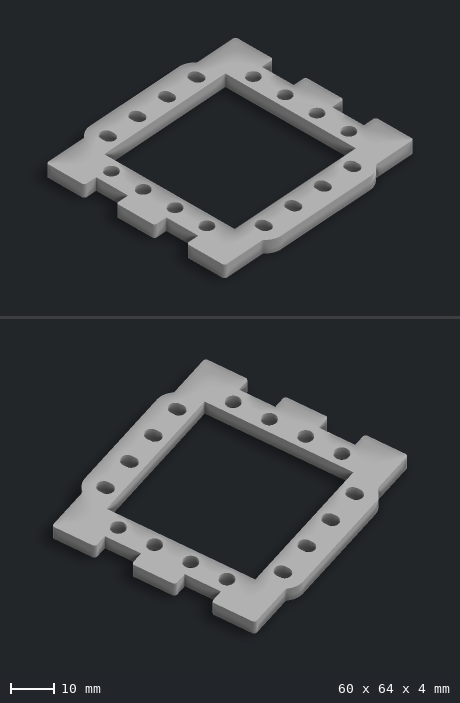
import cadquery as cq
import math

length = 64.0
side_width = 60.0
thickness = 4.0
body_width = 56.0

window_size = 40.95

notch_inner = 6.0
notch_outer = 16.0
notch_depth = 4.0
corner_radius = 0.8

bulge_straight = 30.0
bulge_radius = 5.0
bulge_blend_radius = 1.2
bulge_height = (side_width - body_width) / 2
bulge_end_angle = math.acos(1 - bulge_height / bulge_radius)

hole_pitch = 10.0
holes_per_row = 4
hole_diameter = 4.0
hole_row_y = 24.0
slot_row_x = 24.45
slot_length = 4.55
slot_width = 3.5


def bulge_arc_point(angle):
    """Point on the bulge's end arc in the +X +Y quadrant, angle measured from +X."""
    x = side_width / 2 - bulge_radius * (1 - math.cos(angle))
    y = bulge_straight / 2 + bulge_radius * math.sin(angle)
    return x, y


def make_body():
    """Rectangular plate with end notches and rounded outer corners."""
    body = cq.Workplane("XY").box(body_width, length, thickness)
    notch_width = notch_outer - notch_inner
    notch_x = (notch_outer + notch_inner) / 2
    notch_y = (length - notch_depth) / 2
    notches = (
        cq.Workplane("XY")
        .pushPoints([(sx * notch_x, sy * notch_y) for sx in (-1, 1) for sy in (-1, 1)])
        .box(notch_width, notch_depth, thickness)
    )
    body = body.cut(notches)
    for end in (">Y", "<Y"):
        body = body.faces(end).edges("|Z").fillet(corner_radius)
    return body


def make_bulges():
    """Central slab whose long sides stick out beyond the body."""
    start_x, start_y = bulge_arc_point(0)
    mid_x, mid_y = bulge_arc_point(bulge_end_angle / 2)
    end_x, end_y = bulge_arc_point(bulge_end_angle)
    return (
        cq.Workplane("XY")
        .workplane(offset=-thickness / 2)
        .moveTo(start_x, -start_y)
        .lineTo(start_x, start_y)
        .threePointArc((mid_x, mid_y), (end_x, end_y))
        .lineTo(-end_x, end_y)
        .threePointArc((-mid_x, mid_y), (-start_x, start_y))
        .lineTo(-start_x, -start_y)
        .threePointArc((-mid_x, -mid_y), (-end_x, -end_y))
        .lineTo(end_x, -end_y)
        .threePointArc((mid_x, -mid_y), (start_x, -start_y))
        .close()
        .extrude(thickness)
    )


def blend_bulges(frame):
    """Round the four inside corners where the bulge arcs meet the body."""
    corner_x, corner_y = bulge_arc_point(bulge_end_angle)
    for side_x in (-1, 1):
        for side_y in (-1, 1):
            corner = cq.selectors.NearestToPointSelector((side_x * corner_x, side_y * corner_y, 0))
            frame = frame.edges("|Z").edges(corner).fillet(bulge_blend_radius)
    return frame


def row_positions():
    """Hole positions along a row, centred on zero."""
    return [(i - (holes_per_row - 1) / 2) * hole_pitch for i in range(holes_per_row)]


hole_points = [(p, side * hole_row_y) for side in (-1, 1) for p in row_positions()]
slot_points = [(side * slot_row_x, p) for side in (-1, 1) for p in row_positions()]

frame = blend_bulges(make_body().union(make_bulges()))
frame = frame.cut(cq.Workplane("XY").box(window_size, window_size, thickness))

top = frame.faces(">Z").workplane(origin=(0, 0, thickness / 2))
frame = top.pushPoints(hole_points).hole(hole_diameter)

top = frame.faces(">Z").workplane(origin=(0, 0, thickness / 2))
result = top.pushPoints(slot_points).slot2D(slot_length, slot_width).cutThruAll()